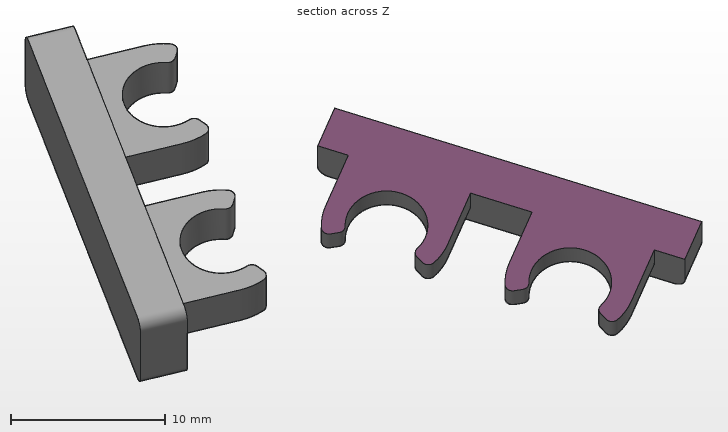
import cadquery as cq
import math

base_length = 25.4
base_height = 6.35
base_depth = base_height / 2
corner_radius = 0.8

clip_spacing = base_length / 2
clip_height = base_height / 2
clip_radius = 4.25
bore_radius = 2.67
mouth_angle = 31.0
outer_tip_radius = 0.5
inner_tip_radius = 0.5
bore_y = base_depth + clip_radius


def make_base():
    plate = cq.Workplane("XY").box(
        base_length, base_depth, base_height, centered=(True, False, True)
    )
    return plate.edges("|Y").fillet(corner_radius)


def make_mouth():
    """Wedge from the bore centre that opens the clip between its two arms."""
    wedge_x = 2 * clip_radius
    wedge_y = wedge_x * math.tan(math.radians(mouth_angle))
    top_y = wedge_y + clip_radius
    outline = [(0, 0), (wedge_x, wedge_y), (wedge_x, top_y), (-wedge_x, top_y), (-wedge_x, wedge_y)]
    return cq.Workplane("XY").polyline(outline).close().extrude(clip_height)


def tip_edges(clip, radius):
    """Select the two vertical edges where the mouth meets the given radius."""
    angle = math.radians(mouth_angle)
    x = radius * math.cos(angle)
    y = radius * math.sin(angle)
    middle = clip_height / 2
    right_edge = cq.selectors.NearestToPointSelector((x, y, middle))
    left_edge = cq.selectors.NearestToPointSelector((-x, y, middle))
    return clip.edges("|Z").edges(right_edge + left_edge)


def make_clip():
    """Open ring on a rectangular foot, with the bore centre at the origin."""
    clip = (
        cq.Workplane("XY")
        .moveTo(-clip_radius, -clip_radius)
        .lineTo(clip_radius, -clip_radius)
        .lineTo(clip_radius, 0)
        .threePointArc((0, clip_radius), (-clip_radius, 0))
        .close()
        .extrude(clip_height)
    )
    bore = cq.Workplane("XY").circle(bore_radius).extrude(clip_height)
    clip = clip.cut(bore).cut(make_mouth())
    clip = tip_edges(clip, clip_radius).fillet(outer_tip_radius)
    return tip_edges(clip, bore_radius).fillet(inner_tip_radius)


result = make_base()
for side in (-1, 1):
    clip_position = (side * clip_spacing / 2, bore_y, -clip_height / 2)
    result = result.union(make_clip().translate(clip_position))